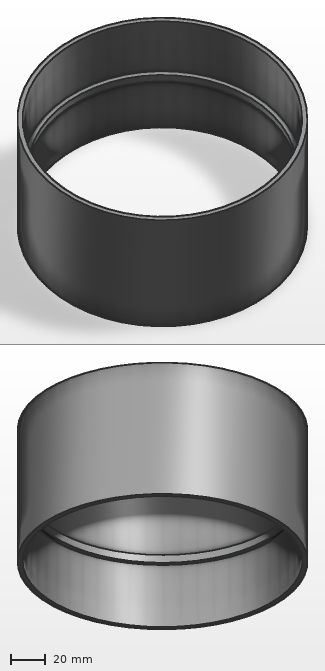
import cadquery as cq

outer_diameter = 166.0
socket_diameter = 160.0
stop_diameter = 154.0
sleeve_height = 85.0
stop_height = 5.0


def ring(outside, inside, height):
    """Ring around Z, centred on the origin."""
    return (
        cq.Workplane("XY")
        .circle(outside / 2)
        .circle(inside / 2)
        .extrude(height / 2, both=True)
    )


sleeve = ring(outer_diameter, socket_diameter, sleeve_height)

stop = ring(outer_diameter, stop_diameter, stop_height)

result = sleeve.union(stop)